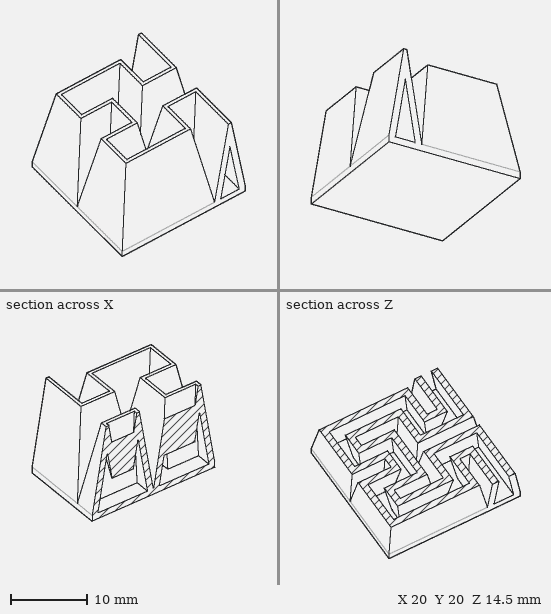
import cadquery as cq

side = 20.0
plate_height = 1.0
wall_height = 13.5
crest_width = 0.5
tunnel_width = 3.0
grid_cells = 4

pitch = side / grid_cells
flank_run = (pitch - crest_width) / 2
tunnel_height = (tunnel_width / 2) * wall_height / flank_run

left_turns = [(1, 3), (1, 2), (0, 2), (0, 0), (1, 0), (1, 1)]


def wall_path():
    """Corner points of the wall centreline, mirrored about the middle of the plate."""
    left = [(0, (grid_cells - 0.5) * pitch)]
    left += [((column + 0.5) * pitch, (row + 0.5) * pitch) for column, row in left_turns]
    right = [(side - x, y) for x, y in reversed(left)]
    return left + right


def left_normal(start, end):
    """Unit vector pointing to the left of the run from start to end."""
    run = cq.Vector(end[0] - start[0], end[1] - start[1], 0).normalized()
    return cq.Vector(-run.y, run.x, 0)


def mitred_sections(profile):
    """Place an (across, up) profile at each path point, on the mitre plane of its turn."""
    points = wall_path()
    normals = [left_normal(start, end) for start, end in zip(points, points[1:])]
    turns = [before + after for before, after in zip(normals, normals[1:])]
    directions = [normals[0]] + turns + [normals[-1]]
    sections = []
    for (x, y), direction in zip(points, directions):
        foot = cq.Vector(x, y, plate_height)
        corners = [foot + direction * across + cq.Vector(0, 0, up) for across, up in profile]
        sections.append(corners)
    return sections


def flat_face(corners):
    """Plane polygon through the corners."""
    return cq.Face.makeFromWires(cq.Wire.makePolygon(corners, close=True))


def straight_run(start, end):
    """Flat-faced solid between two matching sections."""
    faces = [flat_face(start), flat_face(end)]
    for i in range(len(start)):
        faces.append(flat_face([start[i - 1], start[i], end[i], end[i - 1]]))
    return cq.Solid.makeSolid(cq.Shell.makeShell(faces)).fix()


def runs_along_wall(profile):
    """One mitred solid for each straight run of the wall."""
    sections = mitred_sections(profile)
    return [straight_run(start, end) for start, end in zip(sections, sections[1:])]


plate = cq.Workplane("XY").box(side, side, plate_height, centered=False)

wall_runs = runs_along_wall([
    (-pitch / 2, 0),
    (pitch / 2, 0),
    (crest_width / 2, wall_height),
    (-crest_width / 2, wall_height),
])

tunnel_runs = runs_along_wall([
    (-tunnel_width / 2, 0),
    (tunnel_width / 2, 0),
    (0, tunnel_height),
])

result = plate
for wall_run in wall_runs:
    result = result.union(cq.Workplane(wall_run))
for tunnel_run in tunnel_runs:
    result = result.cut(cq.Workplane(tunnel_run))
result = result.clean().solids()